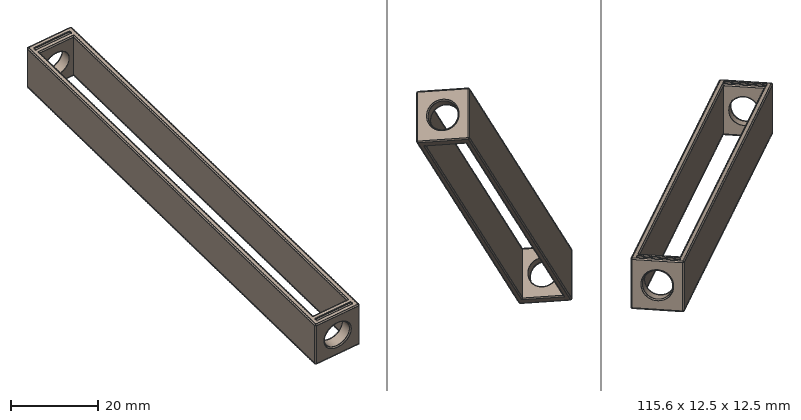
import cadquery as cq

length = 115.6
width = 12.5
height = 12.5

side_wall = 1.5
end_wall = 3.1

edge_break = 0.3

hole_diameter = 7.0

slot_offset = 1.2
slot_width = 0.8
slot_depth = 0.3

opening_length = length - 2 * end_wall
opening_width = width - 2 * side_wall

slot_length = opening_width + 2 * edge_break


def make_frame():
    """Bar with a rectangular opening through its height and chamfered edges."""
    bar = cq.Workplane("XY").box(length, width, height).edges().chamfer(edge_break)
    opening = cq.Workplane("XY").box(opening_length, opening_width, height)

    corner = ((length - end_wall) / 2, (width - side_wall) / 2, height)
    opposite_corner = tuple(-coordinate for coordinate in corner)
    inside_walls = cq.selectors.BoxSelector(opposite_corner, corner, boundingbox=True)
    return bar.cut(opening).faces("<Z or >Z").edges(inside_walls).chamfer(edge_break)


def add_end_holes(frame):
    """Cut the hole along the length and chamfer its rims on the outer end faces."""
    hole = cq.Workplane("YZ").circle(hole_diameter / 2).extrude(length / 2, both=True)
    return frame.cut(hole).faces("<X or >X").edges("%CIRCLE").chamfer(edge_break)


def make_slot(side):
    """Cutter for the slot in the end wall on the -X (side -1) or +X (side 1) end."""
    slot_x = side * (length / 2 - slot_offset - slot_width / 2)
    top_plane = cq.Workplane("XY", origin=(slot_x, 0, height / 2))
    return top_plane.rect(slot_width, slot_length).extrude(-slot_depth)


result = add_end_holes(make_frame())
for end_side in (-1, 1):
    result = result.cut(make_slot(end_side))